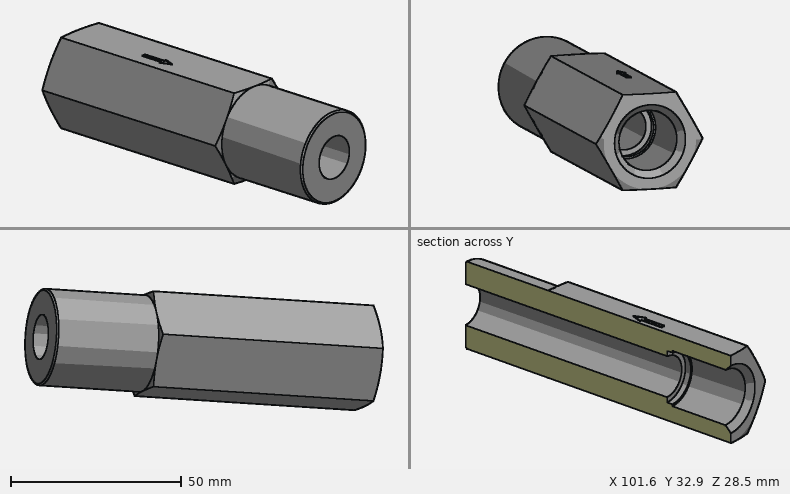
import cadquery as cq
import math

total_length = 101.6
across_flats = 28.5
hex_length = 69.9
spigot_diameter = 28.5
spigot_chamfer = 0.5
corner_chamfer_angle = 15

through_diameter = 13.2
socket_diameter = 17.9
step_diameter = 16.7
step_depth = 24.4
socket_depth = 22.4
mouth_diameter = 21.9
mouth_depth = 2

arrow_depth = 0.2
arrow_start = 28.2
arrow_offset = -2.6
shaft_length = 7.6
shaft_width = 1.3
head_length = 3.8
head_width = 2.8

across_corners = across_flats / math.cos(math.radians(30))
left_end = -total_length / 2
hex_end = left_end + hex_length
right_end = total_length / 2


def revolve_about_axis(points):
    """Revolve a profile of (x, radius) points about the X axis."""
    return cq.Workplane("XY").polyline(points).close().revolve(360, (0, 0, 0), (1, 0, 0))


def make_hexagon():
    """Hexagonal bar with its corners turned back to a cone at both ends."""
    face_radius = across_flats / 2
    corner_radius = across_corners / 2
    setback = (corner_radius - face_radius) * math.tan(math.radians(corner_chamfer_angle))
    bar = cq.Workplane("YZ", origin=(left_end, 0, 0)).polygon(6, across_corners).extrude(hex_length)
    envelope = revolve_about_axis([
        (left_end, 0),
        (left_end, face_radius),
        (left_end + setback, corner_radius),
        (hex_end - setback, corner_radius),
        (hex_end, face_radius),
        (hex_end, 0),
    ])
    return bar.intersect(envelope)


def make_spigot():
    """Round end with a chamfered outer rim."""
    spigot = cq.Workplane("YZ", origin=(hex_end, 0, 0)).circle(spigot_diameter / 2)
    return spigot.extrude(right_end - hex_end).faces(">X").chamfer(spigot_chamfer)


def make_bore():
    """Conical mouth, socket, a short step, then the through hole."""
    mouth_end = left_end + mouth_depth
    socket_end = left_end + socket_depth
    step_end = left_end + step_depth
    return revolve_about_axis([
        (left_end, 0),
        (left_end, mouth_diameter / 2),
        (mouth_end, socket_diameter / 2),
        (socket_end, socket_diameter / 2),
        (socket_end, step_diameter / 2),
        (step_end, step_diameter / 2),
        (step_end, through_diameter / 2),
        (right_end, through_diameter / 2),
        (right_end, 0),
    ])


def make_arrow():
    """Arrow pointing along +X, sunk into the top flat."""
    tail = left_end + arrow_start
    neck = tail + shaft_length
    outline = [
        (tail, -shaft_width / 2),
        (neck, -shaft_width / 2),
        (neck, -head_width / 2),
        (neck + head_length, 0),
        (neck, head_width / 2),
        (neck, shaft_width / 2),
        (tail, shaft_width / 2),
    ]
    top_flat = cq.Workplane("XY", origin=(0, arrow_offset, across_flats / 2))
    return top_flat.polyline(outline).close().extrude(-arrow_depth)


result = make_hexagon().union(make_spigot()).cut(make_bore()).cut(make_arrow())